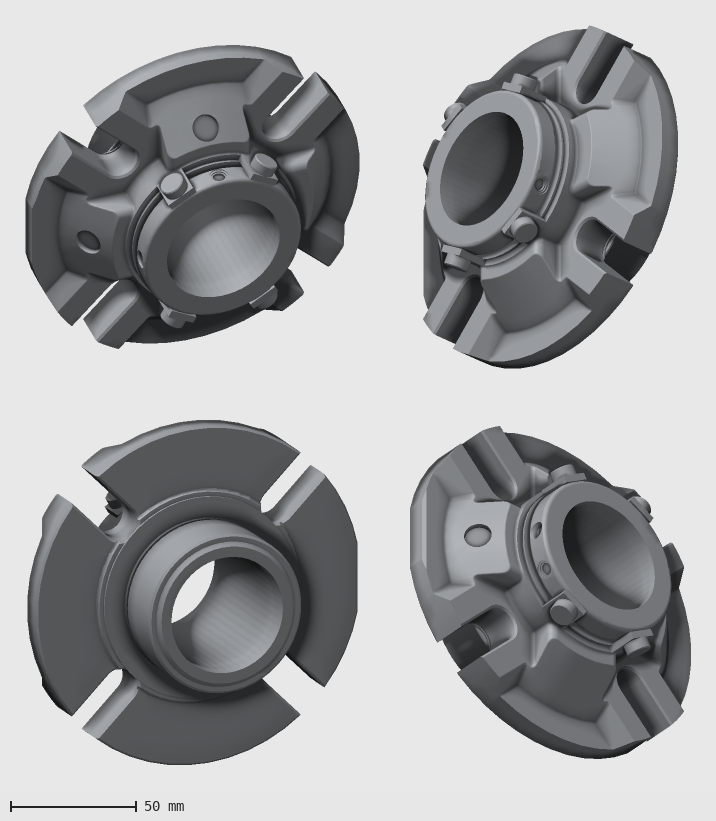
import cadquery as cq
import math


bore_d = 47.7
nose_tip_d, nose_d = 56.2, 59.5
sleeve_d, sleeve_groove_d = 65.4, 63.6
nose_end_x = 1.5
sleeve_chamfer_end_x = 2.4
sleeve_groove_x0, sleeve_groove_x1 = 24.1, 25.8

gasket_d, gasket_x = 82.5, 27.3
pilot_d, pilot_x = 86.2, 28.2
flange_d = 139.5
flange_front_x, pocket_floor_x, flange_back_x = 29.4, 38.9, 45.6
flange_chamfer = 0.8
flat_y = -68.3
flat_back_chamfer = 1.3
pilot_root_fillet = 1.1
slot_width, slot_center_r = 14.2, 47.4
slot_angles = (45, 135, 225, 315)
pocket_apex_r = 25.8
pocket_wall_lean = 41.0
pocket_corner_fillet = 2.1
pocket_floor_fillet = 1.3

hub_d, hub_end_x = 72.0, 57.7
cone_base_r, cone_top_r = 51.9, 41.5
boss_top_x, low_boss_top_x = 57.0, 53.7
boss_tops = {0: low_boss_top_x, 90: boss_top_x, 180: boss_top_x, 270: boss_top_x}
boss_width = 34.9
boss_round = 3.3
root_fillet = 1.7
hub_corner_fillet = 1.1
boss_edge_fillet = 0.7
cone_blank_d = 117.1
pick_margin = 0.4
port_d, port_depth = 11.0, 2.8
port_lean = 45.0
ports = {90: 51.7, 180: 49.0}

inner_tube_d = 50.8
spacer_d = 56.2
collar_d = 66.7
retaining_ring_d = 68.2
retaining_ring_x0, retaining_ring_x1 = 59.0, 59.8
spacer_end_x = 60.4
collar_x0, collar_x1 = 61.4, 71.3
collar_fillet = 1.7
clip_angles = (60, 120, 240, 300)
clip_width, clip_inner_r, clip_outer_r = 12.0, 33.0, 36.0
clip_head_d, clip_head_top_r = 10.0, 40.5
clip_head_edge = 0.4
clip_head_x = collar_x1 - clip_head_d / 2

screw_x = clip_head_x
screw_mouth_d, screw_step_d, screw_d = 7.5, 6.0, 4.9
screw_depth, screw_step_depth = 2.1, 0.5
driver_slot_width, driver_slot_depth = 1.1, 0.5
socket_screw_angles = (90, 210, 330)
slotted_screw_angle = 180

cone_slope = (cone_base_r - cone_top_r) / (boss_top_x - flange_back_x)


def disc(diameter, x0, x1):
    """Solid cylinder on the X axis."""
    return cq.Workplane("YZ", origin=(x0, 0, 0)).circle(diameter / 2).extrude(x1 - x0)


def turned(points):
    """Revolve (x, radius) points about the X axis."""
    return cq.Workplane("XY").polyline(points).close().revolve(360, (0, 0, 0), (1, 0, 0))


def turn_to(shape, angle):
    """Turn a shape built along +Y to an angle about X (0 = +Y, 90 = +Z)."""
    return shape.rotate((0, 0, 0), (1, 0, 0), angle)


def radial_plane(x, radius):
    """Plane facing along +Y at the given place; its local X runs along the part's X."""
    return cq.Workplane(cq.Plane(origin=(x, radius, 0), xDir=(1, 0, 0), normal=(0, 1, 0)))


def cone_radius(x):
    return cone_base_r - cone_slope * (x - flange_back_x)


def make_sleeve():
    nose_r, tip_r = nose_d / 2, nose_tip_d / 2
    outer_r, groove_r = sleeve_d / 2, sleeve_groove_d / 2
    return turned([
        (0, 0),
        (0, tip_r),
        (nose_end_x, nose_r),
        (nose_end_x, groove_r),
        (sleeve_chamfer_end_x, outer_r),
        (sleeve_groove_x0, outer_r),
        (sleeve_groove_x0, groove_r),
        (sleeve_groove_x1, groove_r),
        (sleeve_groove_x1, outer_r),
        (flange_front_x, outer_r),
        (flange_front_x, 0),
    ])


def make_cone(x0, x1):
    """Boss cone between two X positions, its seam turned away from +Y."""
    cone = turned([(x0, 0), (x0, cone_radius(x0)), (x1, cone_radius(x1)), (x1, 0)])
    return turn_to(cone, 180)


def make_slot(angle, x0):
    """Open radial slot with a round bottom and flared edges, from x0 through the flange back."""
    length = flange_d

    def outline(x, width):
        plane = cq.Workplane("YZ", origin=(x, 0, 0))
        return plane.center(slot_center_r + (length - width) / 2, 0).slot2D(length, width)

    flared_width = slot_width + 2 * flange_chamfer
    slot = outline(x0, slot_width).extrude(flange_back_x - x0)
    slot = slot.union(outline(x0, flared_width).extrude(flange_chamfer, taper=45))
    slot = slot.union(outline(flange_back_x, flared_width).extrude(-flange_chamfer, taper=45))
    return turn_to(slot, angle)


def make_pocket(angle):
    """Wedge between two slots, with leaning walls parallel to the slots."""
    far_r = 2 * flange_d
    half = far_r - pocket_apex_r
    wedge = (
        cq.Workplane("YZ", origin=(flange_back_x, 0, 0))
        .polyline([(pocket_apex_r, 0), (far_r, half), (far_r, -half)])
        .close()
        .extrude(pocket_floor_x - flange_back_x, taper=pocket_wall_lean)
    )
    return turn_to(wedge, angle)


def make_flange():
    flange = disc(flange_d, flange_front_x, flange_back_x)
    flat_cut = cq.Workplane("XY").box(2 * flange_d, flange_d, 2 * flange_d)
    flange = flange.cut(flat_cut.translate((0, flat_y - flange_d / 2, 0)))
    flange = flange.faces("<X").edges().chamfer(flange_chamfer)
    for angle in (0, 90, 180, 270):
        flange = flange.cut(make_pocket(angle))
    flat_back_edge = cq.selectors.NearestToPointSelector((pocket_floor_x, flat_y, 0))
    flange = flange.edges(flat_back_edge).chamfer(flat_back_chamfer)
    return flange


def make_pilot():
    """Slotted shoulder on the flange front, with a concave root, carrying the gasket ring."""
    pilot_r = pilot_d / 2
    root_r = pilot_r + pilot_root_fillet
    pilot = (
        cq.Workplane("XY")
        .moveTo(pilot_x, 0)
        .lineTo(pilot_x, pilot_r)
        .lineTo(flange_front_x - pilot_root_fillet, pilot_r)
        .radiusArc((flange_front_x, root_r), -pilot_root_fillet)
        .lineTo(flange_front_x, 0)
        .close()
        .revolve(360, (0, 0, 0), (1, 0, 0))
    )
    for angle in slot_angles:
        pilot = pilot.cut(make_slot(angle, pilot_x))
    return pilot.union(disc(gasket_d, gasket_x, pilot_x))


def make_boss_block(angle, top_x):
    """Straight-sided boss with rounded long edges, before its outer end is turned conical."""
    block = (
        cq.Workplane("XY")
        .box(top_x - flange_back_x, cone_blank_d / 2, boss_width, centered=(False, False, True))
        .edges(">X and |Y")
        .fillet(boss_round)
        .translate((flange_back_x, 0, 0))
    )
    return turn_to(block, angle)


def make_port(angle, x):
    """Blind port leaning outward through the cone surface."""
    lean = math.radians(port_lean)
    outward = cq.Vector(math.sin(lean), math.cos(lean), 0)
    mouth = cq.Vector(x, cone_radius(x), 0)
    floor = mouth - outward * port_depth
    drill = cq.Solid.makeCylinder(port_d / 2, 3 * port_depth, floor, outward)
    return turn_to(cq.Workplane(drill), angle)


def box_around_axis(x0, x1, reach):
    """Selector for edges centred between two X positions and within a square around the axis."""
    return cq.selectors.BoxSelector((x0, -reach, -reach), (x1, reach, reach))


def make_hub():
    """Hub and bosses with filleted roots, all cut to one cone that reaches down to the pocket floors."""
    hub = disc(flange_d, pocket_floor_x, flange_back_x).union(disc(hub_d, flange_back_x, hub_end_x))
    for angle, top_x in boss_tops.items():
        hub = hub.union(make_boss_block(angle, top_x))

    hub_corners = box_around_axis(flange_back_x + pick_margin, hub_end_x - pick_margin, hub_d / 2)
    hub = hub.edges(hub_corners).fillet(hub_corner_fillet)
    roots = box_around_axis(flange_back_x - pick_margin, flange_back_x + pick_margin, cone_blank_d / 2)
    hub = hub.edges(roots).fillet(root_fillet)

    return hub.intersect(make_cone(pocket_floor_x, hub_end_x))


def make_gland():
    """Flange and hub joined, with rounded pocket corners, then slotted and ported."""
    gland = make_flange().union(make_hub())
    wall_ends = box_around_axis(pocket_floor_x + pick_margin, flange_back_x - pick_margin, cone_blank_d / 2)
    gland = gland.edges(wall_ends).fillet(pocket_corner_fillet)
    floor_edges = box_around_axis(pocket_floor_x - pick_margin, pocket_floor_x + pick_margin, cone_blank_d / 2)
    gland = gland.edges(floor_edges).edges("%CIRCLE").fillet(pocket_floor_fillet)

    boss_edges = box_around_axis(flange_back_x + pick_margin, hub_end_x, cone_base_r)
    gland = gland.edges(boss_edges).edges("%HYPERBOLA").fillet(boss_edge_fillet)
    for angle in slot_angles:
        gland = gland.cut(make_slot(angle, flange_front_x))
    for angle, x in ports.items():
        gland = gland.cut(make_port(angle, x))
    return gland


def make_collar():
    body = disc(inner_tube_d, hub_end_x, collar_x1)
    body = body.union(disc(collar_d, hub_end_x, retaining_ring_x0))
    body = body.union(disc(retaining_ring_d, retaining_ring_x0, retaining_ring_x1))
    body = body.union(disc(spacer_d, retaining_ring_x1, spacer_end_x))
    collar = disc(collar_d, collar_x0, collar_x1).edges().fillet(collar_fillet)
    return body.union(collar)


def make_clip(angle):
    """Setting clip bridging hub and collar, held by a round screw head."""
    length = collar_x1 - hub_end_x
    bar = (
        radial_plane((hub_end_x + collar_x1) / 2, clip_inner_r)
        .rect(length, clip_width)
        .extrude(clip_outer_r - clip_inner_r)
    )
    head = (
        radial_plane(clip_head_x, clip_inner_r)
        .circle(clip_head_d / 2)
        .extrude(clip_head_top_r - clip_inner_r)
        .faces(">Y")
        .edges()
        .chamfer(clip_head_edge)
    )
    return turn_to(bar.union(head), angle)


def make_socket_screw_hole(angle):
    surface_r = collar_d / 2
    mouth = radial_plane(screw_x, surface_r - screw_step_depth).circle(screw_mouth_d / 2).extrude(surface_r)
    step = radial_plane(screw_x, surface_r - 2 * screw_step_depth).circle(screw_step_d / 2).extrude(surface_r)
    socket = radial_plane(screw_x, surface_r - screw_depth).circle(screw_d / 2).extrude(surface_r)
    return turn_to(mouth.union(step).union(socket), angle)


def make_slotted_screw_hole(angle):
    """Tapered recess with a driver slot across its floor."""
    floor_r = collar_d / 2 - screw_depth
    cone = cq.Solid.makeCone(
        screw_d / 2, screw_mouth_d / 2, screw_depth, cq.Vector(screw_x, floor_r, 0), cq.Vector(0, 1, 0)
    )
    driver_slot = (
        radial_plane(screw_x, floor_r - driver_slot_depth)
        .circle(screw_d / 2)
        .extrude(driver_slot_depth)
        .intersect(
            cq.Workplane("XY").box(driver_slot_width, flange_d, screw_d).translate((screw_x, 0, 0))
        )
    )
    return turn_to(cq.Workplane(cone).union(driver_slot), angle)


result = make_gland().union(make_pilot()).union(make_sleeve()).union(make_collar())
for clip_angle in clip_angles:
    result = result.union(make_clip(clip_angle))
for screw_angle in socket_screw_angles:
    result = result.cut(make_socket_screw_hole(screw_angle))
result = result.cut(make_slotted_screw_hole(slotted_screw_angle))
result = result.cut(disc(bore_d, 0, collar_x1))